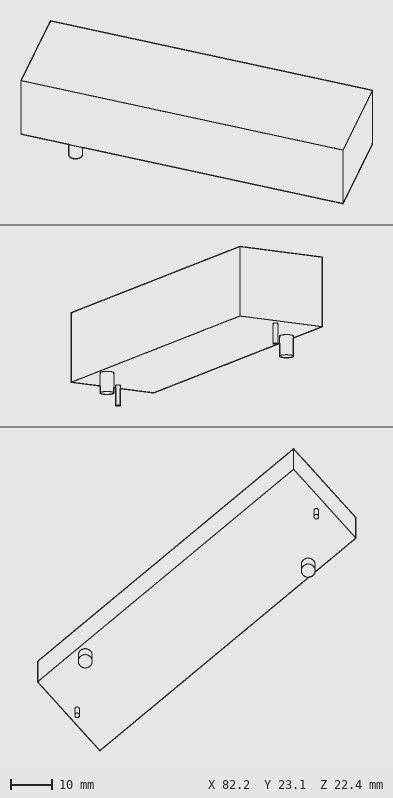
import cadquery as cq

HOUSING_LENGTH = 82.2
HOUSING_WIDTH = 23.1
HOUSING_HEIGHT = 17.35

TOTAL_HEIGHT = 22.35
PIN_LENGTH = TOTAL_HEIGHT - HOUSING_HEIGHT

THIN_PIN_DIAMETER = 1.15
THIN_PIN_X = 38.4

THICK_PIN_DIAMETER = 3.4
THICK_PIN_X = 27.95
THICK_PIN_Y = 9.0


def make_housing():
    return cq.Workplane("XY").box(
        HOUSING_LENGTH, HOUSING_WIDTH, HOUSING_HEIGHT, centered=(True, True, False)
    )


def make_pin(diameter, x, y):
    """Round pin whose top face touches the underside of the housing."""
    return cq.Workplane("XY").center(x, y).circle(diameter / 2).extrude(-PIN_LENGTH)


housing = make_housing()

thin_pins = [make_pin(THIN_PIN_DIAMETER, side * THIN_PIN_X, 0) for side in (-1, 1)]

thick_pins = [
    make_pin(THICK_PIN_DIAMETER, side * THICK_PIN_X, side * THICK_PIN_Y) for side in (-1, 1)
]

pins = thin_pins + thick_pins
result = cq.Compound.makeCompound([housing.val(), *[pin.val() for pin in pins]])